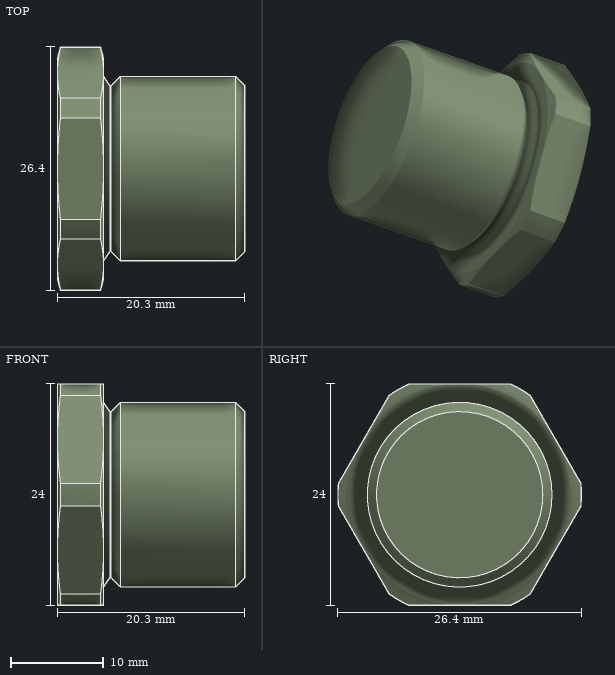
import cadquery as cq
import math

across_flats = 24.0
corner_radius = 13.2
head_length = 5.0
head_chamfer_angle = 15

total_length = 20.3
shank_radius = 10.0
end_chamfer = 1.0

groove_radius = 9.0
groove_floor_start = 5.67
groove_floor_end = 5.8
groove_depth = shank_radius - groove_radius
groove_end = groove_floor_end + groove_depth

flat_radius = across_flats / 2
head_chamfer = (corner_radius - flat_radius) * math.tan(math.radians(head_chamfer_angle))


def revolve_about_x(profile):
    """Turn (x, radius) points into a solid of revolution about the X axis."""
    return cq.Workplane("XY").polyline(profile).close().revolve(360, (0, 0, 0), (1, 0, 0))


def make_head():
    """Hexagon with corners along Y, trimmed by a chamfered round blank."""
    corner_to_corner = across_flats / math.cos(math.radians(30))
    hexagon = cq.Workplane("YZ").polygon(6, corner_to_corner).extrude(head_length)
    blank = revolve_about_x([
        (0, 0),
        (0, flat_radius),
        (head_chamfer, corner_radius),
        (head_length - head_chamfer, corner_radius),
        (head_length, flat_radius),
        (head_length, 0),
    ])
    return hexagon.intersect(blank)


def make_shank():
    """Turned shank with the relief groove and the chamfered free end."""
    return revolve_about_x([
        (head_length, 0),
        (head_length, shank_radius),
        (groove_floor_start, groove_radius),
        (groove_floor_end, groove_radius),
        (groove_end, shank_radius),
        (total_length - end_chamfer, shank_radius),
        (total_length, shank_radius - end_chamfer),
        (total_length, 0),
    ])


result = make_head().union(make_shank())